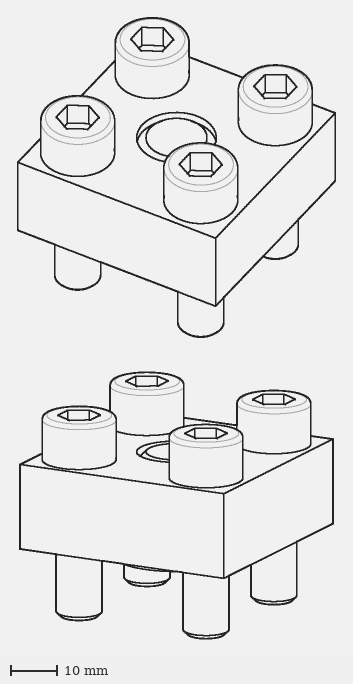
import cadquery as cq
import math

block_side = 50
block_height = 19

spigot_diameter = 28
spigot_height = 4

groove_diameter = 17.2
groove_depth = 2
cone_top_diameter = 13.2

bolt_circle_diameter = 44
bolt_spacing = bolt_circle_diameter / math.sqrt(2)
shank_diameter = 10
shank_protrusion = 16
shank_chamfer = 1
head_diameter = 16
head_height = 10
head_fillet = 1
socket_across_flats = 8
socket_across_corners = socket_across_flats / math.cos(math.radians(30))
socket_depth = 5


def make_block():
    block = cq.Workplane("XY").box(block_side, block_side, block_height, centered=(True, True, False))
    spigot = cq.Workplane("XY").circle(spigot_diameter / 2).extrude(-spigot_height)
    return block.union(spigot)


def make_groove():
    """Ring of triangular section; its inner cone meets the outer wall at the bottom."""
    profile = [
        (cone_top_diameter / 2, block_height),
        (groove_diameter / 2, block_height),
        (groove_diameter / 2, block_height - groove_depth),
    ]
    return cq.Workplane("XZ").polyline(profile).close().revolve(360, (0, 0, 0), (0, 1, 0))


def make_screw():
    """Screw on the Z axis with its head resting on the block's top face."""
    shank = (
        cq.Workplane("XY", origin=(0, 0, -shank_protrusion))
        .circle(shank_diameter / 2)
        .extrude(shank_protrusion + block_height)
        .faces("<Z")
        .chamfer(shank_chamfer)
    )
    head = (
        cq.Workplane("XY", origin=(0, 0, block_height))
        .circle(head_diameter / 2)
        .extrude(head_height)
        .faces(">Z")
        .edges()
        .fillet(head_fillet)
    )
    socket = (
        cq.Workplane("XY", origin=(0, 0, block_height + head_height))
        .transformed(rotate=(0, 0, 90))
        .polygon(6, socket_across_corners)
        .extrude(-socket_depth)
    )
    return shank.union(head).cut(socket)


result = make_block().cut(make_groove())
screw = make_screw()
for x_side in (-1, 1):
    for y_side in (-1, 1):
        position = (x_side * bolt_spacing / 2, y_side * bolt_spacing / 2, 0)
        result = result.union(screw.translate(position))